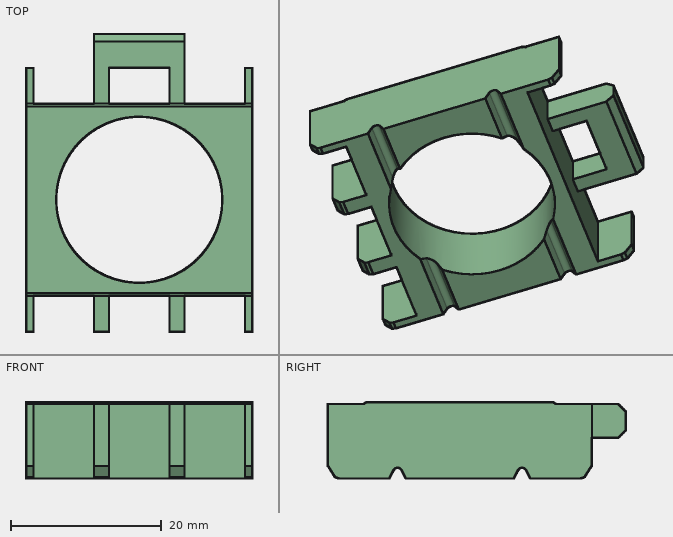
import cadquery as cq
import math

body_width = 30.0
body_depth = 25.5
body_height = 10.15
bore_diameter = 22.0

bevel_run = 0.38
bevel_drop = 0.25

plate_length = 35.0
plate_height = body_height - bevel_drop
plate_thickness = 1.0
corner_flank_run = 0.96
corner_flank_top = 1.7
corner_toe_run = 0.54
corner_toe_rise = 0.18

latch_width = 12.0
latch_arm_width = 2.0
latch_reach = 22.0
latch_thickness = 4.5
latch_chamfer = 1.0
latch_window_end = plate_length / 2

groove_spacing = 16.5
groove_height = 1.42
groove_radius = 0.6
groove_flank_angle = 63.0


def make_body():
    """Block with beveled front and back top edges."""
    half = body_depth / 2
    return (
        cq.Workplane("YZ")
        .moveTo(-half, 0)
        .lineTo(half, 0)
        .lineTo(half, plate_height)
        .lineTo(half - bevel_run, body_height)
        .lineTo(-half + bevel_run, body_height)
        .lineTo(-half, plate_height)
        .close()
        .extrude(body_width / 2, both=True)
    )


def make_plate(x_min, thickness):
    """Full-length plate whose lower corners have a steep flank and a shallow toe."""
    half = plate_length / 2
    toe_outer = half - corner_flank_run
    toe_inner = toe_outer - corner_toe_run
    return (
        cq.Workplane("YZ", origin=(x_min, 0, 0))
        .moveTo(-toe_inner, 0)
        .lineTo(toe_inner, 0)
        .lineTo(toe_outer, corner_toe_rise)
        .lineTo(half, corner_flank_top)
        .lineTo(half, plate_height)
        .lineTo(-half, plate_height)
        .lineTo(-half, corner_flank_top)
        .lineTo(-toe_outer, corner_toe_rise)
        .close()
        .extrude(thickness)
    )


def make_rib(x_min):
    """Front part of a plate, from its front end to the middle of the body."""
    front_half = cq.Workplane("XY", origin=(0, -plate_length, 0)).box(
        body_width, plate_length, body_height, centered=(True, False, False)
    )
    return make_plate(x_min, latch_arm_width).intersect(front_half)


def make_latch():
    """Rectangular loop standing off the back of the body, beveled at its outer end."""
    bar = (
        cq.Workplane("XY", origin=(0, 0, plate_height - latch_thickness))
        .box(latch_width, latch_reach, latch_thickness, centered=(True, False, False))
        .faces(">Y")
        .edges("|X")
        .chamfer(latch_chamfer)
    )
    window = cq.Workplane("XY").box(
        latch_width - 2 * latch_arm_width, latch_window_end, body_height, centered=(True, False, False)
    )
    return bar.cut(window)


def make_groove(y_center):
    """Cutter for one groove: sloped flanks tangent to a rounded crown."""
    flank = math.radians(groove_flank_angle)
    tangent_y = groove_radius * math.sin(flank)
    tangent_z = groove_height - groove_radius * (1 - math.cos(flank))
    mouth_y = tangent_y + tangent_z / math.tan(flank)
    return (
        cq.Workplane("YZ", origin=(0, y_center, 0))
        .moveTo(-mouth_y, 0)
        .lineTo(-tangent_y, tangent_z)
        .threePointArc((0, groove_height), (tangent_y, tangent_z))
        .lineTo(mouth_y, 0)
        .close()
        .extrude(body_width / 2, both=True)
    )


result = make_body().union(make_latch())

for plate_x in (-body_width / 2, body_width / 2 - plate_thickness):
    result = result.union(make_plate(plate_x, plate_thickness))

for rib_x in (-latch_width / 2, latch_width / 2 - latch_arm_width):
    result = result.union(make_rib(rib_x))

for groove_y in (-groove_spacing / 2, groove_spacing / 2):
    result = result.cut(make_groove(groove_y))

bore = cq.Workplane("XY").circle(bore_diameter / 2).extrude(body_height)
result = result.cut(bore)